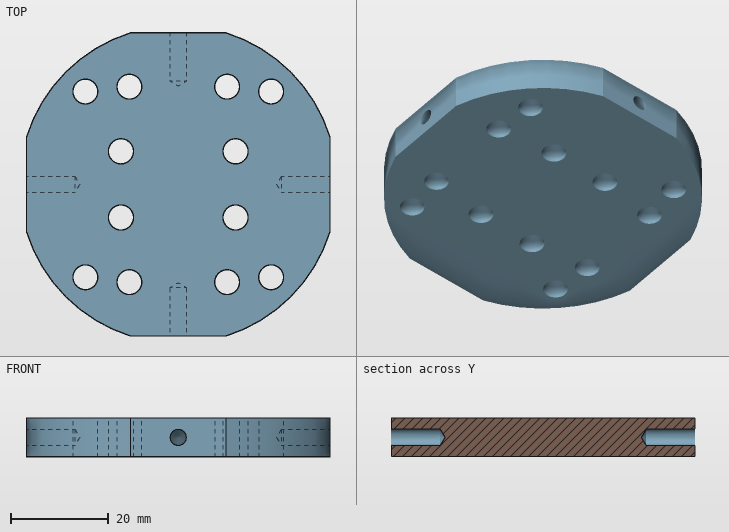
import cadquery as cq
import math

width = 62.0
thickness = 8.0
disc_diameter = 65.0

outer_hole_diameter = 5.0
inner_hole_diameter = 5.1
corner_offset = 19.0
pair_x = 10.0
pair_y = 2 * pair_x
inner_circle_radius = 13.5
inner_angle = math.radians(30)
inner_x = inner_circle_radius * math.cos(inner_angle)
inner_y = inner_circle_radius * math.sin(inner_angle)

side_hole_diameter = 3.3
side_hole_depth = 9.9
drill_point_angle = 118.0


def make_plate():
    """Round disc trimmed by four flats, with its bottom face on Z = 0."""
    disc = cq.Workplane("XY").circle(disc_diameter / 2).extrude(thickness)
    square = cq.Workplane("XY").rect(width, width).extrude(thickness)
    return disc.intersect(square)


def make_hole_group(x, y, diameter):
    """Four vertical through holes, one in each quadrant at (+-x, +-y)."""
    points = [(sx * x, sy * y) for sx in (1, -1) for sy in (1, -1)]
    return cq.Workplane("XY").pushPoints(points).circle(diameter / 2).extrude(thickness)


def make_side_hole():
    """Drilled hole with a conical end, entering through the -Y flat."""
    radius = side_hole_diameter / 2
    tip_length = radius / math.tan(math.radians(drill_point_angle / 2))
    bottom_y = -width / 2 + side_hole_depth
    half_profile = (
        cq.Workplane("XY", origin=(0, 0, thickness / 2))
        .moveTo(0, -width / 2)
        .lineTo(radius, -width / 2)
        .lineTo(radius, bottom_y)
        .lineTo(0, bottom_y + tip_length)
        .close()
    )
    return half_profile.revolve(360, (0, 0, 0), (0, 1, 0))


result = (
    make_plate()
    .cut(make_hole_group(corner_offset, corner_offset, outer_hole_diameter))
    .cut(make_hole_group(pair_x, pair_y, outer_hole_diameter))
    .cut(make_hole_group(inner_x, inner_y, inner_hole_diameter))
)
side_hole = make_side_hole()
for angle in (0, 90, 180, 270):
    result = result.cut(side_hole.rotate((0, 0, 0), (0, 0, 1), angle))